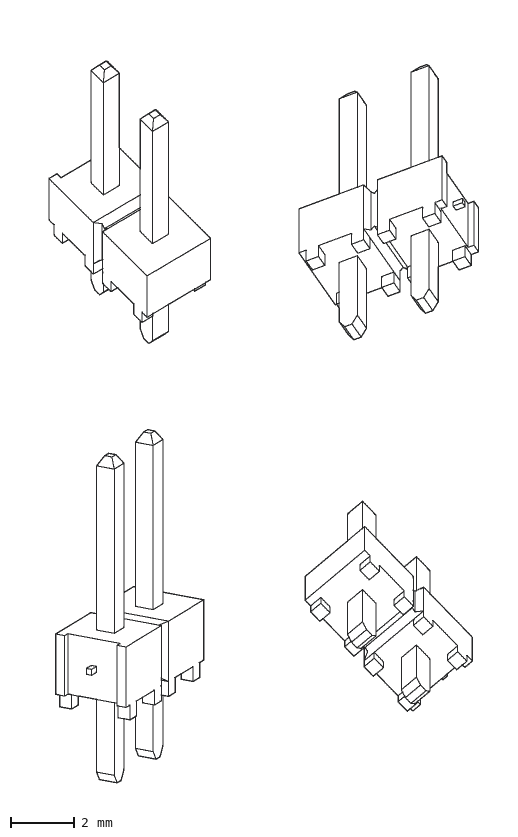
import cadquery as cq

pitch = 2.54
cell_count = 2
body_length = cell_count * pitch
body_depth = pitch
body_height = 2.03
body_bottom = 3.06
body_top = body_bottom + body_height

pin_length = 10.92
pin_width = 0.64
taper_height = 0.32
tip_width = 0.26

foot_width = 0.44
foot_height = 0.5
outer_foot_inset = 0.26

groove_width = 0.48
groove_depth = 0.26
groove_floor_width = 0.24

recess_depth = 0.21
recess_wall = 0.33
stub_width = 0.2
stub_protrusion = 0.12

body_left = -body_length / 2
pin_positions = [(i - (cell_count - 1) / 2) * pitch for i in range(cell_count)]


def block(length, depth, height, x, y, bottom):
    """Box centred at x, y and standing on the given height."""
    return (
        cq.Workplane("XY")
        .box(length, depth, height, centered=(True, True, False))
        .translate((x, y, bottom))
    )


def make_groove():
    """V grooves above and below, and trapezoidal grooves on both Y sides."""
    half_width = groove_width / 2
    half_floor = groove_floor_width / 2
    groove = cq.Workplane("XY")
    for face, inward in ((body_top, -1), (body_bottom, 1)):
        vee = [(-half_width, face), (half_width, face), (0, face + inward * groove_depth)]
        groove = groove.add(
            cq.Workplane("XZ").polyline(vee).close().extrude(body_depth / 2, both=True)
        )
    for side in (-1, 1):
        face = side * body_depth / 2
        floor = face - side * groove_depth
        trapezoid = [(-half_width, face), (half_width, face), (half_floor, floor), (-half_floor, floor)]
        groove = groove.add(
            cq.Workplane("XY", origin=(0, 0, body_bottom)).polyline(trapezoid).close().extrude(body_height)
        )
    return groove.combine()


def make_body():
    body = block(body_length, body_depth, body_height, 0, 0, body_bottom)
    recess_width = body_depth - 2 * recess_wall
    recess_center = body_left + recess_depth / 2
    recess = block(recess_depth, recess_width, body_height, recess_center, 0, body_bottom)
    return body.cut(recess).cut(make_groove())


def make_feet():
    """Feet along both Y edges, mirrored about the groove."""
    outer_x = body_length / 2 - outer_foot_inset - foot_width / 2
    inner_x = groove_width / 2 + foot_width / 2
    foot_y = (body_depth - foot_width) / 2
    positions = [
        (side_x * x, side_y * foot_y)
        for x in (inner_x, outer_x)
        for side_x in (-1, 1)
        for side_y in (-1, 1)
    ]
    return (
        cq.Workplane("XY", origin=(0, 0, body_bottom - foot_height))
        .pushPoints(positions)
        .rect(foot_width, foot_width)
        .extrude(foot_height)
    )


def make_stub():
    """Small square stub standing out of the recess floor."""
    length = recess_depth + stub_protrusion
    center_x = body_left - stub_protrusion + length / 2
    bottom = body_bottom + (body_height - stub_width) / 2
    return block(length, stub_width, stub_width, center_x, 0, bottom)


def make_pin(x):
    """Pin with a pyramid tip at the top and a chisel tip, tapered in X only, at the bottom."""
    shaft = block(pin_width, pin_width, pin_length - 2 * taper_height, x, 0, taper_height)
    upper_tip = (
        cq.Workplane("XY", origin=(x, 0, pin_length - taper_height))
        .rect(pin_width, pin_width)
        .workplane(offset=taper_height)
        .rect(tip_width, tip_width)
        .loft()
    )
    lower_tip = (
        cq.Workplane("XY", origin=(x, 0, 0))
        .rect(tip_width, pin_width)
        .workplane(offset=taper_height)
        .rect(pin_width, pin_width)
        .loft()
    )
    return shaft.union(upper_tip).union(lower_tip)


result = make_body().union(make_feet()).union(make_stub())
for pin_x in pin_positions:
    result = result.union(make_pin(pin_x))